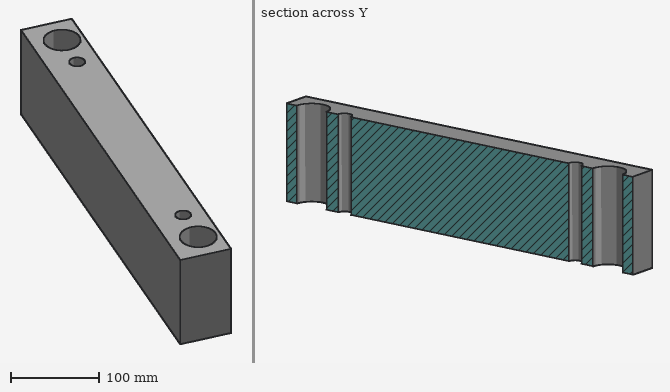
import cadquery as cq

length = 496.0
width = 62.0
height = 116.0

large_hole_diameter = 42.0
large_hole_spacing = 424.0
small_hole_diameter = 18.0
small_hole_spacing = 330.0
hole_line_to_back = 26.0
hole_line_y = width / 2 - hole_line_to_back


def drill_pair(body, diameter, spacing):
    """Drill two through holes, spaced along X on the hole line."""
    centers = [(-spacing / 2, hole_line_y), (spacing / 2, hole_line_y)]
    return body.faces(">Z").workplane(origin=(0, 0, height)).pushPoints(centers).hole(diameter)


block = cq.Workplane("XY").box(length, width, height, centered=(True, True, False))
block = drill_pair(block, large_hole_diameter, large_hole_spacing)
result = drill_pair(block, small_hole_diameter, small_hole_spacing)